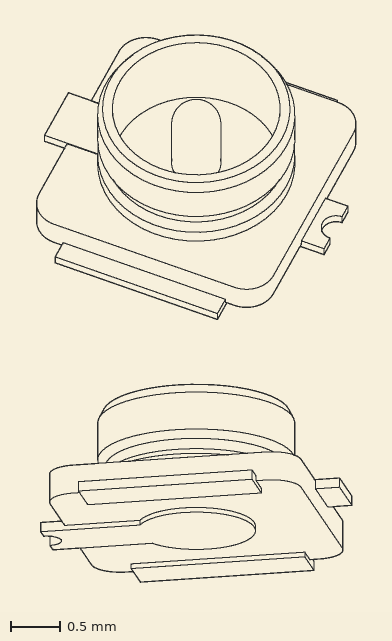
import cadquery as cq

base_side = 2.6
base_corner_radius = 0.3
base_bottom = 0.05
base_top = 0.35

sheet_thickness = 0.1
tab_width = 0.6
tab_reach = 1.55
upper_tab_top = 0.36
upper_tab_inner_end = 0.9
notch_radius = 0.15
contact_disc_radius = 0.6

pad_length = 1.8
pad_inner = 1.05
pad_outer = 1.5

shell_radius = 1.0
shell_bore_radius = 0.85
shell_rim_radius = 0.95
shell_top = 1.25
rim_chamfer_height = 0.1
groove_radius = 0.925
groove_bottom = 0.57
groove_top = 0.68
groove_flank = shell_radius - groove_radius

pin_radius = 0.25
pin_top = 1.25


def box_between(x_start, x_end, y_start, y_end, bottom, top):
    """Axis-aligned block between the given limits."""
    size = (x_end - x_start, y_end - y_start, top - bottom)
    block = cq.Workplane("XY").box(*size, centered=False)
    return block.translate((x_start, y_start, bottom))


def make_base():
    """Square plate with rounded vertical corners."""
    plate = cq.Workplane("XY", origin=(0, 0, base_bottom)).rect(base_side, base_side)
    return plate.extrude(base_top - base_bottom).edges("|Z").fillet(base_corner_radius)


def make_shell():
    """Open ring with a chamfered rim and a snap groove around the outside."""
    profile = (
        cq.Workplane("XZ")
        .moveTo(shell_bore_radius, base_top)
        .lineTo(shell_radius, base_top)
        .lineTo(shell_radius, groove_bottom - groove_flank)
        .lineTo(groove_radius, groove_bottom)
        .lineTo(groove_radius, groove_top)
        .lineTo(shell_radius, groove_top + groove_flank)
        .lineTo(shell_radius, shell_top - rim_chamfer_height)
        .lineTo(shell_rim_radius, shell_top)
        .lineTo(shell_bore_radius, shell_top)
        .close()
    )
    return profile.revolve(360, (0, 0, 0), (0, 1, 0))


def make_pin():
    """Round pin with a hemispherical tip."""
    tip_centre = pin_top - pin_radius
    shank = cq.Workplane("XY", origin=(0, 0, base_top)).circle(pin_radius).extrude(tip_centre - base_top)
    tip = cq.Workplane("XY").sphere(pin_radius).translate((0, 0, tip_centre))
    return shank.union(tip)


def make_upper_tab():
    """Tab on the -X side, let into the top of the base."""
    return box_between(
        -tab_reach, -upper_tab_inner_end,
        -tab_width / 2, tab_width / 2,
        upper_tab_top - sheet_thickness, upper_tab_top,
    )


def make_signal_contact():
    """Disc under the base with a tab toward +X, notched at its outer end."""
    disc = cq.Workplane("XY").circle(contact_disc_radius).extrude(sheet_thickness)
    tab = box_between(0, tab_reach, -tab_width / 2, tab_width / 2, 0, sheet_thickness)
    notch = cq.Workplane("XY", origin=(tab_reach, 0, 0)).circle(notch_radius).extrude(sheet_thickness)
    return disc.union(tab).cut(notch)


def make_ground_pad():
    """Pad strip along the -Y side."""
    return box_between(-pad_length / 2, pad_length / 2, -pad_outer, -pad_inner, 0, sheet_thickness)


ground_pad = make_ground_pad()

result = make_base().union(make_shell()).union(make_pin())
result = result.union(make_upper_tab()).union(make_signal_contact())
result = result.union(ground_pad).union(ground_pad.mirror("XZ"))